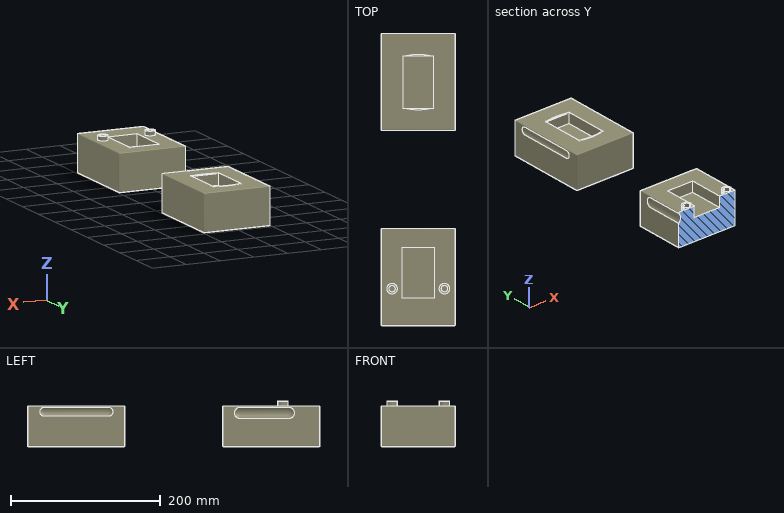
import cadquery as cq
import math

block_width = 99.0
block_length = 130.0
block_height = 54.5
overall_length = 390.0
edge_fillet = 1.5
block_offset = (overall_length - block_length) / 2

rear_pocket_width = 41.0
rear_pocket_length = 70.2
rear_pocket_y = 130.0
bow_chord = 33.5
bow_rise = 2.0
bow_depth = 1.0
rear_pocket_depth = 17.0

front_pocket_width = 43.3
front_pocket_length = 67.5
front_pocket_y = -124.0
front_pocket_depth = 17.0

rear_groove_diameter = 16.0
rear_groove_straight = 85.8
rear_groove_standoff = 5.5
rear_groove_y = 130.0
rear_groove_z = 46.8
front_groove_diameter = 20.0
front_groove_straight = 65.0
front_groove_standoff = 6.5
front_groove_y = -121.0
front_groove_z = 45.2

boss_diameter = 14.0
boss_hole_diameter = 8.5
boss_height = 6.2
boss_spacing = 70.0
boss_y = -145.5


def block(center_y):
    """Plain block standing on Z = 0 with all its edges rounded."""
    base = cq.Workplane("XY").center(0, center_y)
    body = base.box(block_width, block_length, block_height, centered=(True, True, False))
    return body.edges().fillet(edge_fillet)


def pocket(width, length, depth, center_y):
    """Rectangular pocket cutter reaching down from the top of a block."""
    top = cq.Workplane("XY", origin=(0, center_y, block_height))
    return top.rect(width, length).extrude(-depth)


def pocket_bow(side):
    """Shallow circular-arc widening of one end of the rear pocket, side = +1 or -1."""
    end_y = side * rear_pocket_length / 2
    top = cq.Workplane("XY", origin=(0, rear_pocket_y, block_height))
    outline = top.moveTo(-bow_chord / 2, end_y)
    outline = outline.threePointArc((0, end_y + side * bow_rise), (bow_chord / 2, end_y))
    return outline.close().extrude(-bow_depth)


def side_groove(diameter, straight, standoff, center_y, center_z):
    """Ball-ended cylinder along Y, with its axis just outside the -X face."""
    radius = diameter / 2
    half = straight / 2
    axis_x = -block_width / 2 - standoff
    profile = cq.Workplane("XY", origin=(axis_x, center_y, center_z)).moveTo(0, -half - radius)
    diagonal = radius * math.sqrt(0.5)
    profile = profile.threePointArc((diagonal, -half - diagonal), (radius, -half))
    profile = profile.lineTo(radius, half)
    profile = profile.threePointArc((diagonal, half + diagonal), (0, half + radius))
    return profile.close().revolve(360, (0, 0, 0), (0, 1, 0))


def rear_block():
    body = block(block_offset)
    body = body.cut(pocket(rear_pocket_width, rear_pocket_length, rear_pocket_depth, rear_pocket_y))
    for side in (-1, 1):
        body = body.cut(pocket_bow(side))
    groove = side_groove(
        rear_groove_diameter, rear_groove_straight, rear_groove_standoff,
        rear_groove_y, rear_groove_z,
    )
    return body.cut(groove)


def front_block():
    body = block(-block_offset)
    body = body.cut(pocket(front_pocket_width, front_pocket_length, front_pocket_depth, front_pocket_y))
    groove = side_groove(
        front_groove_diameter, front_groove_straight, front_groove_standoff,
        front_groove_y, front_groove_z,
    )
    body = body.cut(groove)
    top = cq.Workplane("XY", origin=(0, boss_y, block_height))
    centers = [(-boss_spacing / 2, 0), (boss_spacing / 2, 0)]
    body = body.union(top.pushPoints(centers).circle(boss_diameter / 2).extrude(boss_height))
    holes = top.pushPoints(centers).circle(boss_hole_diameter / 2).extrude(boss_height)
    return body.cut(holes)


result = cq.Compound.makeCompound([rear_block().val(), front_block().val()])